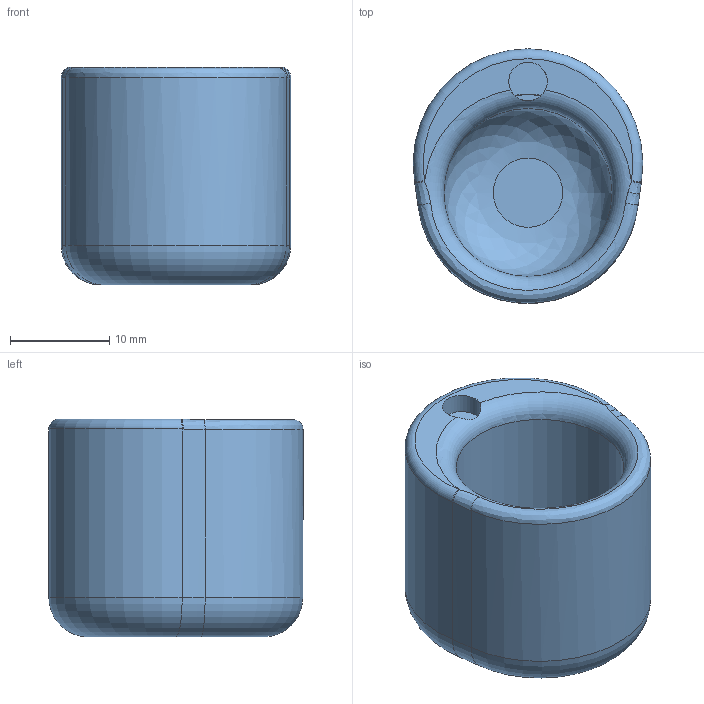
import cadquery as cq
import math

HEIGHT = 22.0
FRONT_RADIUS = 11.2
BACK_RADIUS = 11.6
BACK_OFFSET = 2.9
BLEND_RADIUS = 50.0
BASE_FILLET = 4.0
RIM_FILLET = 1.0

BORE_RADIUS = 8.5
FLOOR_THICKNESS = 2.0
BORE_FLOOR_FILLET = 5.0
BORE_MOUTH_ROUND = 2.0

SOCKET_DIAMETER = 3.9
SOCKET_DEPTH = 2.0
SOCKET_OFFSET = 11.2

GROOVE_INNER_RADIUS = 8.9
GROOVE_WIDTH = 1.0
GROOVE_DEPTH = 8.0

QUARTER_TURN = math.sqrt(0.5)


def blended_outline():
    """Two arcs of different radius, joined on each side by a concave tangent arc."""
    to_front = FRONT_RADIUS + BLEND_RADIUS
    to_back = BACK_RADIUS + BLEND_RADIUS
    blend_y = (to_front**2 - to_back**2 + BACK_OFFSET**2) / (2 * BACK_OFFSET)
    blend_x = math.sqrt(to_front**2 - blend_y**2)

    front_x = blend_x * FRONT_RADIUS / to_front
    front_y = blend_y * FRONT_RADIUS / to_front
    back_x = blend_x * BACK_RADIUS / to_back
    back_y = BACK_OFFSET + (blend_y - BACK_OFFSET) * BACK_RADIUS / to_back

    chord_x = (front_x + back_x) / 2 - blend_x
    chord_y = (front_y + back_y) / 2 - blend_y
    reach = BLEND_RADIUS / math.hypot(chord_x, chord_y)
    middle_x = blend_x + chord_x * reach
    middle_y = blend_y + chord_y * reach

    return (
        cq.Workplane("XY")
        .moveTo(front_x, front_y)
        .threePointArc((middle_x, middle_y), (back_x, back_y))
        .threePointArc((0, BACK_OFFSET + BACK_RADIUS), (-back_x, back_y))
        .threePointArc((-middle_x, middle_y), (-front_x, front_y))
        .threePointArc((0, -FRONT_RADIUS), (front_x, front_y))
        .close()
    )


def outer_body():
    return blended_outline().extrude(HEIGHT).faces("<Z").edges().fillet(BASE_FILLET)


def bore():
    """Bore with a rounded floor edge and a flared, rounded mouth."""
    floor_flat = BORE_RADIUS - BORE_FLOOR_FILLET
    floor_round_z = FLOOR_THICKNESS + BORE_FLOOR_FILLET
    mouth_radius = BORE_RADIUS + BORE_MOUTH_ROUND
    mouth_round_z = HEIGHT - BORE_MOUTH_ROUND
    floor_middle = (
        floor_flat + BORE_FLOOR_FILLET * QUARTER_TURN,
        floor_round_z - BORE_FLOOR_FILLET * QUARTER_TURN,
    )
    mouth_middle = (
        mouth_radius - BORE_MOUTH_ROUND * QUARTER_TURN,
        mouth_round_z + BORE_MOUTH_ROUND * QUARTER_TURN,
    )
    return (
        cq.Workplane("XZ")
        .moveTo(0, FLOOR_THICKNESS)
        .lineTo(floor_flat, FLOOR_THICKNESS)
        .threePointArc(floor_middle, (BORE_RADIUS, floor_round_z))
        .lineTo(BORE_RADIUS, mouth_round_z)
        .threePointArc(mouth_middle, (mouth_radius, HEIGHT))
        .lineTo(0, HEIGHT)
        .close()
        .revolve(360, (0, 0), (0, 1))
    )


def socket():
    return (
        cq.Workplane("XY", origin=(0, SOCKET_OFFSET, HEIGHT - SOCKET_DEPTH))
        .circle(SOCKET_DIAMETER / 2)
        .extrude(SOCKET_DEPTH)
    )


def ring_groove():
    """Ring-shaped groove around the bore, reached through the socket floor."""
    return (
        cq.Workplane("XY", origin=(0, 0, HEIGHT - SOCKET_DEPTH - GROOVE_DEPTH))
        .circle(GROOVE_INNER_RADIUS + GROOVE_WIDTH)
        .circle(GROOVE_INNER_RADIUS)
        .extrude(GROOVE_DEPTH)
    )


def round_rim(cup):
    """Round the outer edge of the rim, running onto the flared bore mouth at the front."""
    outer_edges = cup.faces(">Z").val().outerWire().Edges()
    return cup.newObject(outer_edges).fillet(RIM_FILLET)


result = round_rim(outer_body().cut(bore())).cut(socket()).cut(ring_groove())